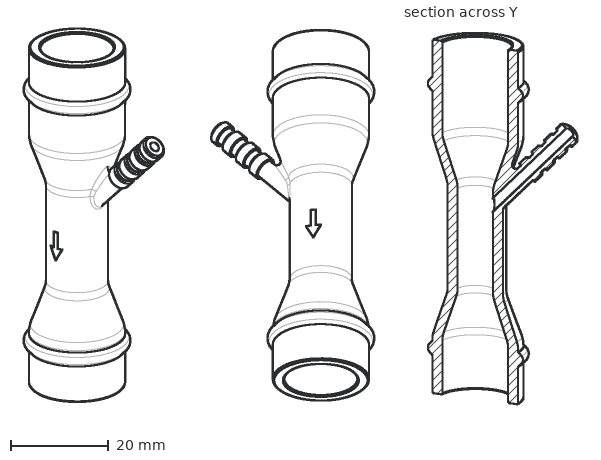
import cadquery as cq
import math

length = 75.2
body_radius = 19.8 / 2
throat_radius = 12.8 / 2
bore_radius = 15.0 / 2
throat_bore_radius = 8.0 / 2
rim_chamfer = 0.3

lower_body_top = 12.5
lower_cone_top = 22.2
upper_cone_bottom = 45.2
upper_body_bottom = 54.85
cone_blend = 5.0
edge_margin = 0.75

ridge_heights = (9.6, 65.75)
ridge_radius = 22.0 / 2
ridge_crest = 1.1
ridge_inner_radius = (bore_radius + body_radius) / 2

nozzle_angle = 45.0
nozzle_origin_z = 37.7
nozzle_radius = 4.0 / 2
nozzle_hole_radius = 2.0 / 2
barb_radius = 5.0 / 2
barb_length = 2.5
tip_barb_length = 1.9
barb_chamfer = 0.4
barb_pitch = 4.0
barb_count = 4
nozzle_length = 30.55
first_barb_start = nozzle_length - tip_barb_length - (barb_count - 1) * barb_pitch

nozzle_root_fillet = 0.75

arrow_tip_z = 29.6
arrow_head_z = 32.35
arrow_tail_z = 35.9
arrow_head_width = 3.15
arrow_stem_width = 1.05
arrow_relief = 0.11


def waisted_solid(end_radius, waist_radius):
    """Solid of revolution with a narrow waist and rounded cone ends."""
    solid = (
        cq.Workplane("XZ")
        .moveTo(0, 0)
        .lineTo(end_radius, 0)
        .lineTo(end_radius, lower_body_top)
        .lineTo(waist_radius, lower_cone_top)
        .lineTo(waist_radius, upper_cone_bottom)
        .lineTo(end_radius, upper_body_bottom)
        .lineTo(end_radius, length)
        .lineTo(0, length)
        .close()
        .revolve(360, (0, 0, 0), (0, 1, 0))
    )
    cone_edges = cq.selectors.BoxSelector(
        (-length, -length, lower_body_top - edge_margin), (length, length, upper_body_bottom + edge_margin)
    )
    return solid.edges("%CIRCLE").edges(cone_edges).fillet(cone_blend)


def ridge(height):
    """Ring around the body at the given height."""
    crest_centre = ridge_radius - ridge_crest
    tangent_offset = ridge_crest * math.sin(math.radians(45))
    tangent_radius = crest_centre + tangent_offset
    root_offset = tangent_offset + tangent_radius - body_radius
    return (
        cq.Workplane("XZ")
        .moveTo(ridge_inner_radius, height - root_offset)
        .lineTo(body_radius, height - root_offset)
        .lineTo(tangent_radius, height - tangent_offset)
        .threePointArc((ridge_radius, height), (tangent_radius, height + tangent_offset))
        .lineTo(body_radius, height + root_offset)
        .lineTo(ridge_inner_radius, height + root_offset)
        .close()
        .revolve(360, (0, 0, 0), (0, 1, 0))
    )


def nozzle_plane():
    """Plane at the nozzle origin whose normal runs along the nozzle."""
    angle = math.radians(nozzle_angle)
    return cq.Plane(
        origin=(0, 0, nozzle_origin_z),
        xDir=(0, 1, 0),
        normal=(math.cos(angle), 0, math.sin(angle)),
    )


def nozzle_stem():
    """Plain round stem of the nozzle, starting inside the throat."""
    return cq.Workplane(nozzle_plane()).circle(nozzle_radius).extrude(nozzle_length)


def barb(index, axial_length):
    """One barb of the nozzle, chamfered on its outer end."""
    start = first_barb_start + index * barb_pitch
    return (
        cq.Workplane(nozzle_plane())
        .workplane(offset=start)
        .circle(barb_radius)
        .extrude(axial_length)
        .faces(cq.selectors.DirectionMinMaxSelector(nozzle_plane().zDir, True))
        .chamfer(barb_chamfer)
    )


def flow_arrow_pair():
    """Arrows pointing down, raised on the -Y and +Y sides of the throat."""
    half_head = arrow_head_width / 2
    half_stem = arrow_stem_width / 2
    prism = (
        cq.Workplane("XZ")
        .polyline(
            [
                (0, arrow_tip_z),
                (half_head, arrow_head_z),
                (half_stem, arrow_head_z),
                (half_stem, arrow_tail_z),
                (-half_stem, arrow_tail_z),
                (-half_stem, arrow_head_z),
                (-half_head, arrow_head_z),
            ]
        )
        .close()
        .extrude(body_radius, both=True)
    )
    sleeve = cq.Workplane("XY").circle(throat_radius + arrow_relief).extrude(length)
    return prism.intersect(sleeve)


body = waisted_solid(body_radius, throat_radius).faces("<Z or >Z").chamfer(rim_chamfer)

nozzle_root = cq.selectors.BoxSelector(
    (throat_radius / 2, -body_radius, nozzle_origin_z),
    (body_radius, body_radius, upper_body_bottom),
    boundingbox=True,
)
body = body.union(nozzle_stem()).edges(nozzle_root).fillet(nozzle_root_fillet)

for barb_index in range(barb_count):
    is_tip = barb_index == barb_count - 1
    body = body.union(barb(barb_index, tip_barb_length if is_tip else barb_length))
for ridge_height in ridge_heights:
    body = body.union(ridge(ridge_height))
body = body.union(flow_arrow_pair())

body = body.cut(waisted_solid(bore_radius, throat_bore_radius))
mouth_radius = bore_radius + rim_chamfer
lower_mouth = cq.Solid.makeCone(mouth_radius, bore_radius, rim_chamfer)
upper_mouth = lower_mouth.mirror("XY", (0, 0, length / 2))
body = body.cut(cq.Workplane(lower_mouth)).cut(cq.Workplane(upper_mouth))

nozzle_hole = cq.Workplane(nozzle_plane()).circle(nozzle_hole_radius).extrude(nozzle_length)
result = body.cut(nozzle_hole)